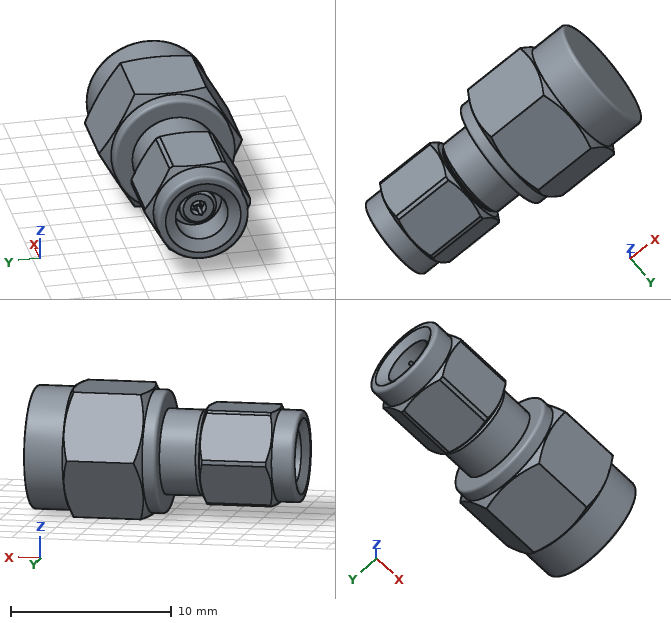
import cadquery as cq
import math


total_length = 17.0
rim_fillet = 0.2
hex_bevel_angle = 30.0
half_hex_sector = 30.0

small_collar_radius = 2.89
small_hex_start = 1.4
small_hex_end = 6.02
small_hex_flats = 5.97
small_hex_corner_radius = 3.37

neck_radius = 2.7
neck_chamfer = 0.19
groove_width = 0.07
groove_radius = 2.46

large_collar_start = 8.57
large_collar_radius = 3.88
large_hex_start = 9.44
large_hex_end = 14.52
large_hex_flats = 7.92
large_hex_corner_radius = large_hex_flats / math.sqrt(3)

mouth_radius = 2.4
bore_radius = 1.67
funnel_depth = 0.42
bore_depth = 2.38

boss_face = 1.43
boss_radius = 1.17
boss_chamfer = 0.2
recess_radius = 0.5
recess_depth = 0.68

pin_tip = 0.61
pin_radius = 0.12
pin_tip_fillet = 0.05
pin_shoulder = 1.46
pin_shoulder_radius = 0.24


def cylinder(start, end, radius):
    """Solid cylinder between two stations."""
    return cq.Workplane("YZ").workplane(offset=start).circle(radius).extrude(end - start)


def turned(profile):
    """Solid of revolution about X from (station, radius) points."""
    return cq.Workplane("XY").polyline(profile).close().revolve(axisStart=(0, 0, 0), axisEnd=(1, 0, 0))


def beveled_hex(start, end, flats, corner_radius, bevel_radius):
    """Hexagon whose corners are bevelled at both ends down to bevel_radius."""
    prism = cq.Workplane("YZ").workplane(offset=start)
    prism = prism.polygon(6, flats, circumscribed=True).extrude(end - start)
    prism = prism.rotate((0, 0, 0), (1, 0, 0), half_hex_sector)
    bevel_length = (corner_radius - bevel_radius) * math.tan(math.radians(hex_bevel_angle))
    envelope = turned([
        (start, 0),
        (start, bevel_radius),
        (start + bevel_length, corner_radius),
        (end - bevel_length, corner_radius),
        (end, bevel_radius),
        (end, 0),
    ])
    return prism.intersect(envelope)


def small_nut():
    collar = cylinder(0, small_hex_end, small_collar_radius)
    collar = collar.faces("<X").edges().fillet(rim_fillet)
    hexagon = beveled_hex(
        small_hex_start, small_hex_end, small_hex_flats, small_hex_corner_radius, small_collar_radius
    )
    return collar.union(hexagon)


def neck():
    neck_start = small_hex_end + groove_width
    groove_core = cylinder(small_hex_end, neck_start, groove_radius)
    body = cylinder(neck_start, large_collar_start, neck_radius)
    body = body.faces("<X").chamfer(neck_chamfer)
    return groove_core.union(body)


def large_nut():
    collar = cylinder(large_collar_start, total_length, large_collar_radius)
    collar = collar.faces("<X or >X").edges().fillet(rim_fillet)
    hexagon = beveled_hex(
        large_hex_start, large_hex_end, large_hex_flats, large_hex_corner_radius, large_collar_radius
    )
    return collar.union(hexagon)


def socket():
    """Cavity with a funnel mouth leading into a straight bore."""
    return turned([
        (0, 0),
        (0, mouth_radius),
        (funnel_depth, bore_radius),
        (bore_depth, bore_radius),
        (bore_depth, 0),
    ])


def recessed_boss():
    boss = cylinder(boss_face, bore_depth, boss_radius).faces("<X").chamfer(boss_chamfer)
    recess = cylinder(boss_face, boss_face + recess_depth, recess_radius)
    return boss.cut(recess)


def contact_pin():
    tip = cylinder(pin_tip, pin_shoulder, pin_radius).faces("<X").edges().fillet(pin_tip_fillet)
    shoulder = cylinder(pin_shoulder, bore_depth, pin_shoulder_radius)
    return tip.union(shoulder)


shell = small_nut().union(neck()).union(large_nut()).cut(socket())
result = shell.union(recessed_boss()).union(contact_pin())